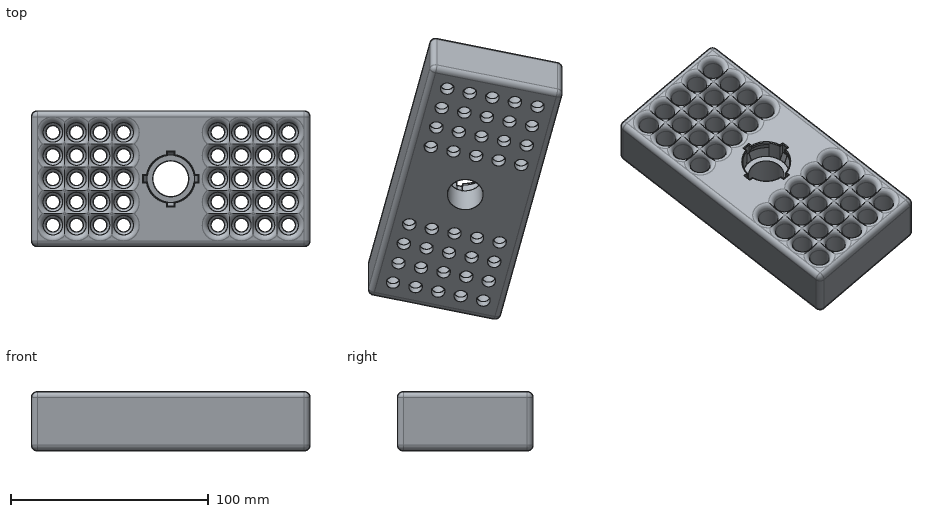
import cadquery as cq
import math

LENGTH = 140.8
WIDTH = 68.5
HEIGHT = 30.0
EDGE_RADIUS = 3.0

HOLE_COLUMNS = 4
HOLE_ROWS = 5
INNER_COLUMN_X = 23.8
BORE_RADIUS = 9.9 / 2
DRAIN_RADIUS = 6.8 / 2
RIM_RADIUS = EDGE_RADIUS
MOUTH_RADIUS = BORE_RADIUS + RIM_RADIUS
SEAT_HEIGHT = BORE_RADIUS - DRAIN_RADIUS
BORE_FLOOR_HEIGHT = 5.9

SOCKET_RADIUS = 23.8 / 2
SOCKET_DEPTH = 12.1
THROUGH_RADIUS = 18.0 / 2
LOCK_RADIUS = 13.7
LOCK_START_DEPTH = 2.0
LOCK_PEAK_DEPTH = (LOCK_START_DEPTH + SOCKET_DEPTH) / 2
LOCK_ANGLE = 45.0
KEY_COUNT = 4
KEY_WIDTH = 3.1
SOCKET_CHAMFER = 0.49


def make_block():
    """Block with every edge rounded, its top face at Z = 0."""
    block = cq.Workplane("XY").box(LENGTH, WIDTH, HEIGHT, centered=(True, True, False))
    return block.translate((0, 0, -HEIGHT)).edges().fillet(EDGE_RADIUS)


def hole_centres():
    """Centres of both groups; the outer rims touch the rounded block edges."""
    outer_x = LENGTH / 2 - EDGE_RADIUS - MOUTH_RADIUS
    outer_y = WIDTH / 2 - EDGE_RADIUS - MOUTH_RADIUS
    pitch_x = (outer_x - INNER_COLUMN_X) / (HOLE_COLUMNS - 1)
    pitch_y = 2 * outer_y / (HOLE_ROWS - 1)
    centres = []
    for side in (-1, 1):
        for column in range(HOLE_COLUMNS):
            for row in range(HOLE_ROWS):
                x = side * (INNER_COLUMN_X + column * pitch_x)
                y = row * pitch_y - outer_y
                centres.append((x, y))
    return centres


def make_hole_cutter():
    """Rounded mouth, bore, conical seat and drain hole as one turned profile."""
    floor_z = BORE_FLOOR_HEIGHT - HEIGHT
    return (
        cq.Workplane("XZ")
        .moveTo(0, 0)
        .lineTo(MOUTH_RADIUS, 0)
        .radiusArc((BORE_RADIUS, -RIM_RADIUS), -RIM_RADIUS)
        .lineTo(BORE_RADIUS, floor_z)
        .lineTo(DRAIN_RADIUS, floor_z - SEAT_HEIGHT)
        .lineTo(DRAIN_RADIUS, -HEIGHT)
        .lineTo(0, -HEIGHT)
        .close()
        .revolve(360, (0, 0, 0), (0, 1, 0))
    )


def make_lock_groove():
    """Solid of the V-shaped groove a key turns in, from the slot along +X clockwise to its stop."""
    half_key_angle = math.degrees(math.asin(KEY_WIDTH / 2 / SOCKET_RADIUS))
    profile = (
        cq.Workplane("XZ")
        .moveTo(0, -LOCK_START_DEPTH)
        .lineTo(SOCKET_RADIUS, -LOCK_START_DEPTH)
        .lineTo(LOCK_RADIUS, -LOCK_PEAK_DEPTH)
        .lineTo(SOCKET_RADIUS, -SOCKET_DEPTH)
        .lineTo(0, -SOCKET_DEPTH)
        .close()
    )
    return profile.revolve(LOCK_ANGLE + half_key_angle, (0, 0, 0), (0, -1, 0))


def make_key_slot():
    """Entry slot along +X, open at the top and closing on a slope to the socket floor."""
    return (
        cq.Workplane("XZ")
        .moveTo(0, 0)
        .lineTo(LOCK_RADIUS, 0)
        .lineTo(LOCK_RADIUS, -LOCK_PEAK_DEPTH)
        .lineTo(SOCKET_RADIUS, -SOCKET_DEPTH)
        .lineTo(0, -SOCKET_DEPTH)
        .close()
        .extrude(KEY_WIDTH / 2, both=True)
    )


def make_socket_cutter():
    """Keyed socket with a chamfered mouth, lock grooves and a through hole."""
    socket = cq.Workplane("XY").circle(SOCKET_RADIUS).extrude(-SOCKET_DEPTH)
    key_slot = make_key_slot()
    key_angles = [index * 360 / KEY_COUNT for index in range(KEY_COUNT)]
    for angle in key_angles:
        socket = socket.union(key_slot.rotate((0, 0, 0), (0, 0, 1), angle))
    mouth = socket.faces(">Z").wires().toPending().offset2D(SOCKET_CHAMFER, "intersection")
    mouth = mouth.extrude(-SOCKET_CHAMFER, combine=False, taper=45)
    socket = socket.union(mouth)
    lock_groove = make_lock_groove()
    for angle in key_angles:
        socket = socket.union(lock_groove.rotate((0, 0, 0), (0, 0, 1), angle))
    through_hole = cq.Workplane("XY").circle(THROUGH_RADIUS).extrude(-HEIGHT)
    return socket.union(through_hole)


hole_cutter = make_hole_cutter().val()
hole_cutters = [hole_cutter.translate(cq.Vector(x, y, 0)) for x, y in hole_centres()]
drilled_block = make_block().val().cut(*hole_cutters)
result = cq.Workplane(drilled_block).cut(make_socket_cutter())